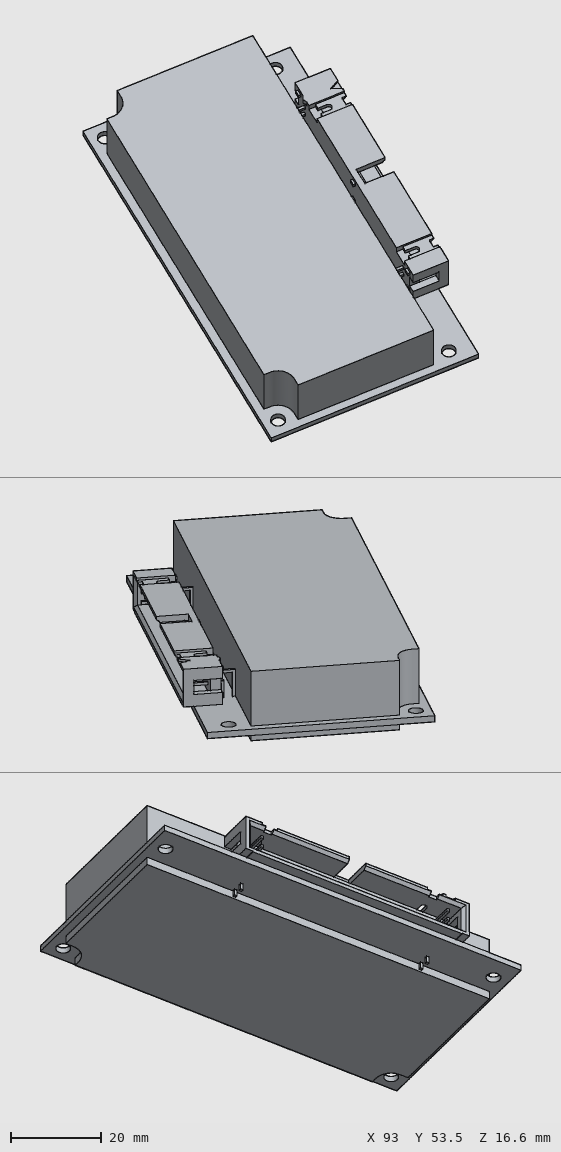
import cadquery as cq

TOTAL_HEIGHT = 16.6
BOARD_BOTTOM = 2.0
BOARD_THICKNESS = 1.5
BOARD_TOP = BOARD_BOTTOM + BOARD_THICKNESS

BOARD_LENGTH = 93.0
BOARD_WIDTH = 51.1
SCREW_HOLE_DIAMETER = 3.3
SCREW_HOLE_SPACING_Y = 42.0
SCREW_HOLE_INSET_X = 3.7
SCREW_X = BOARD_LENGTH / 2 - SCREW_HOLE_INSET_X
FRONT_SCREW_Y = 3.5
REAR_SCREW_Y = FRONT_SCREW_Y + SCREW_HOLE_SPACING_Y

COVER_SIDE_INSET = 1.9
COVER_FRONT = 2.0
COVER_BACK = 40.9
COVER_HALF_LENGTH = BOARD_LENGTH / 2 - COVER_SIDE_INSET
SCREW_CLEARANCE_RADIUS = 4.0

SHELL_LENGTH = 58.3
SHELL_DEPTH = 8.7
SHELL_HEIGHT = 9.0
SHELL_CENTER_X = -2.3
SHELL_MOUTH = 53.5
SHELL_BACK = SHELL_MOUTH - SHELL_DEPTH
PAD_HEIGHT = 0.2
PAD_END_INSET = 1.9
SHELL_BOTTOM = BOARD_TOP + PAD_HEIGHT
SHELL_TOP = SHELL_BOTTOM + SHELL_HEIGHT
SHELL_CENTER_Z = SHELL_BOTTOM + SHELL_HEIGHT / 2
WALL = 1.5
END_WALL = 1.7
BASE_DEPTH = 2.4
CAVITY_FLOOR = SHELL_BACK + BASE_DEPTH
LEAD_IN = 0.7
CUT_MARGIN = 0.9

KEY_SLOT_WIDTH = 4.3
SLOT_BACK = CAVITY_FLOOR - 0.8
END_WINDOW_FRONT = 51.15
END_WINDOW_HEIGHT = 3.35

GROOVE_CENTERS_X = (-22.6, 20.55)
GROOVE_WIDTH = 4.0
GROOVE_DEPTH = 0.6
MOUTH_NOTCH_WIDTH = 2.0
MOUTH_NOTCH_DEPTH = 1.1
ARCH_WIDTH = 1.6
ARCH_TIP = 49.4

MARK_WIDTH = 2.4
MARK_LENGTH = 2.4
MARK_DEPTH = 0.6
RIDGE_WIDTH = 2.0
RIDGE_HEIGHT = 0.5
BUMP_SPACING = 27.0
BUMP_WIDTH = 1.4
BUMP_HEIGHT = 0.6
BUMP_THICKNESS = 0.8
BUMP_OFFSET_Z = 3.2

PITCH = 2.5
PIN_SIZE = 0.65
PIN_SPAN = 48.5
PIN_BOTTOM = 0.5
PIN_TIP = 52.5
LOWER_ROW_TAIL_Y = SHELL_BACK - 0.9
UPPER_ROW_TAIL_Y = LOWER_ROW_TAIL_Y - PITCH
PIN_CENTER_Z = SHELL_CENTER_Z + 0.1
PIN_XS = (SHELL_CENTER_X - PIN_SPAN / 2, SHELL_CENTER_X + PIN_SPAN / 2)
PIN_ROWS = (
    (UPPER_ROW_TAIL_Y, PIN_CENTER_Z + PITCH / 2),
    (LOWER_ROW_TAIL_Y, PIN_CENTER_Z - PITCH / 2),
)


def block(x_range, y_range, z_range):
    """Box between two limits along each axis."""
    (x0, x1), (y0, y1), (z0, z1) = x_range, y_range, z_range
    return cq.Workplane("XY").box(x1 - x0, y1 - y0, z1 - z0, centered=False).translate((x0, y0, z0))


def span(center, size):
    """Lower and upper limit of a length centred on a point."""
    return center - size / 2, center + size / 2


def make_board():
    """Flat board with four screw holes and a square hole for each pin tail."""
    board = block(span(0, BOARD_LENGTH), (0, BOARD_WIDTH), (BOARD_BOTTOM, BOARD_TOP))
    screw_points = [(x, y) for x in (-SCREW_X, SCREW_X) for y in (FRONT_SCREW_Y, REAR_SCREW_Y)]
    screw_holes = (
        cq.Workplane("XY").pushPoints(screw_points).circle(SCREW_HOLE_DIAMETER / 2).extrude(BOARD_TOP)
    )
    pin_points = [(x, tail_y) for x in PIN_XS for tail_y, _ in PIN_ROWS]
    pin_holes = cq.Workplane("XY").pushPoints(pin_points).rect(PIN_SIZE, PIN_SIZE).extrude(BOARD_TOP)
    return board.cut(screw_holes).cut(pin_holes)


def make_cover(bottom, top):
    """Block whose two front corners are cut back around the screws."""
    cover = block(span(0, 2 * COVER_HALF_LENGTH), (COVER_FRONT, COVER_BACK), (bottom, top))
    relief_x = SCREW_X - SCREW_CLEARANCE_RADIUS
    relief_y = FRONT_SCREW_Y + SCREW_CLEARANCE_RADIUS
    for side in (-1, 1):
        relief = (
            cq.Workplane("XY", origin=(0, 0, bottom))
            .moveTo(side * COVER_HALF_LENGTH, COVER_FRONT)
            .lineTo(side * relief_x, COVER_FRONT)
            .lineTo(side * relief_x, FRONT_SCREW_Y)
            .radiusArc((side * SCREW_X, relief_y), side * SCREW_CLEARANCE_RADIUS)
            .lineTo(side * COVER_HALF_LENGTH, relief_y)
            .close()
            .extrude(top - bottom)
        )
        cover = cover.cut(relief)
    return cover


def make_shell_box():
    """Open box with a lead-in chamfer at its mouth and a thin pad under it."""
    shell = block(span(SHELL_CENTER_X, SHELL_LENGTH), (SHELL_BACK, SHELL_MOUTH), (SHELL_BOTTOM, SHELL_TOP))
    cavity = block(
        span(SHELL_CENTER_X, SHELL_LENGTH - 2 * END_WALL),
        (CAVITY_FLOOR, SHELL_MOUTH),
        (SHELL_BOTTOM + WALL, SHELL_TOP - WALL),
    )
    inner_rim = cq.selectors.BoxSelector(
        (SHELL_CENTER_X - SHELL_LENGTH / 2 + END_WALL / 2, SHELL_MOUTH - WALL / 2, SHELL_BOTTOM + WALL / 2),
        (SHELL_CENTER_X + SHELL_LENGTH / 2 - END_WALL / 2, SHELL_MOUTH + WALL / 2, SHELL_TOP - WALL / 2),
    )
    shell = shell.cut(cavity).edges(inner_rim).chamfer(LEAD_IN)
    pad = block(
        span(SHELL_CENTER_X, SHELL_LENGTH - 2 * PAD_END_INSET),
        (SHELL_BACK, SHELL_MOUTH),
        (BOARD_TOP, SHELL_BOTTOM),
    )
    return shell.union(pad)


def wall_openings():
    """Key slot in the top wall and one window in each end wall."""
    key_slot = block(
        span(SHELL_CENTER_X, KEY_SLOT_WIDTH),
        (SLOT_BACK, SHELL_MOUTH + CUT_MARGIN),
        (SHELL_TOP - WALL, SHELL_TOP + CUT_MARGIN),
    )
    openings = [key_slot]
    for side in (-1, 1):
        window_x = SHELL_CENTER_X + side * (SHELL_LENGTH - END_WALL) / 2
        openings.append(
            block(
                span(window_x, END_WALL),
                (SHELL_BACK, END_WINDOW_FRONT),
                span(SHELL_CENTER_Z, END_WINDOW_HEIGHT),
            )
        )
    return openings


def latch_cut(center_x):
    """Shallow groove with a mouth notch, a rounded slot and a deeper step at the back."""
    inside_top = SHELL_TOP - WALL
    groove_x = span(center_x, GROOVE_WIDTH)
    groove = block(groove_x, (SHELL_BACK, SHELL_MOUTH), (SHELL_TOP - GROOVE_DEPTH, SHELL_TOP))
    back_step = block(groove_x, (SHELL_BACK, SLOT_BACK), (inside_top, SHELL_TOP))
    notch = block(
        span(center_x, MOUTH_NOTCH_WIDTH),
        (SHELL_MOUTH - MOUTH_NOTCH_DEPTH, SHELL_MOUTH),
        (inside_top, SHELL_TOP),
    )
    arch_center_y = ARCH_TIP - ARCH_WIDTH / 2
    arch_slot = block(span(center_x, ARCH_WIDTH), (SLOT_BACK, arch_center_y), (inside_top, SHELL_TOP))
    arch_end = (
        cq.Workplane("XY", origin=(center_x, arch_center_y, inside_top)).circle(ARCH_WIDTH / 2).extrude(WALL)
    )
    return groove.union(back_step).union(notch).union(arch_slot).union(arch_end)


def triangle_prism(base_y, width, length, depth):
    """Triangle pointing toward -Y above the first pin, reaching down from the shell top."""
    return (
        cq.Workplane("XY", origin=(PIN_XS[0], base_y, SHELL_TOP - depth))
        .polyline([(-width / 2, 0), (width / 2, 0), (0, -length)])
        .close()
        .extrude(depth)
    )


def back_bumps():
    """Three small bumps near the top of the back face and three near the bottom."""
    return [
        block(
            span(SHELL_CENTER_X + column * BUMP_SPACING, BUMP_WIDTH),
            (SHELL_BACK - BUMP_HEIGHT, SHELL_BACK),
            span(SHELL_CENTER_Z + side * BUMP_OFFSET_Z, BUMP_THICKNESS),
        )
        for column in (-1, 0, 1)
        for side in (-1, 1)
    ]


def make_pin(x, tail_y, pin_z):
    """Square pin running from inside the shell to its tail, then down through the board."""
    half = PIN_SIZE / 2
    arm = block(span(x, PIN_SIZE), (tail_y - half, PIN_TIP), span(pin_z, PIN_SIZE))
    tail = block(span(x, PIN_SIZE), span(tail_y, PIN_SIZE), (PIN_BOTTOM, pin_z + half))
    return arm.union(tail)


def make_connector():
    """Shell and its moulded-in pins, as one body."""
    connector = make_shell_box()
    for opening in wall_openings():
        connector = connector.cut(opening)
    for center_x in GROOVE_CENTERS_X:
        connector = connector.cut(latch_cut(center_x))
    connector = connector.cut(triangle_prism(SHELL_MOUTH, MARK_WIDTH, MARK_LENGTH, MARK_DEPTH))
    ridge_depth = SHELL_TOP - SHELL_CENTER_Z - BUMP_OFFSET_Z
    connector = connector.union(triangle_prism(SHELL_BACK, RIDGE_WIDTH, RIDGE_HEIGHT, ridge_depth))
    for bump in back_bumps():
        connector = connector.union(bump)
    for x in PIN_XS:
        for tail_y, pin_z in PIN_ROWS:
            connector = connector.union(make_pin(x, tail_y, pin_z))
    return connector


board = make_board()
upper_cover = make_cover(BOARD_TOP, TOTAL_HEIGHT)
lower_cover = make_cover(0, BOARD_BOTTOM)
connector = make_connector()

result = cq.Compound.makeCompound([board.val(), upper_cover.val(), lower_cover.val(), connector.val()])